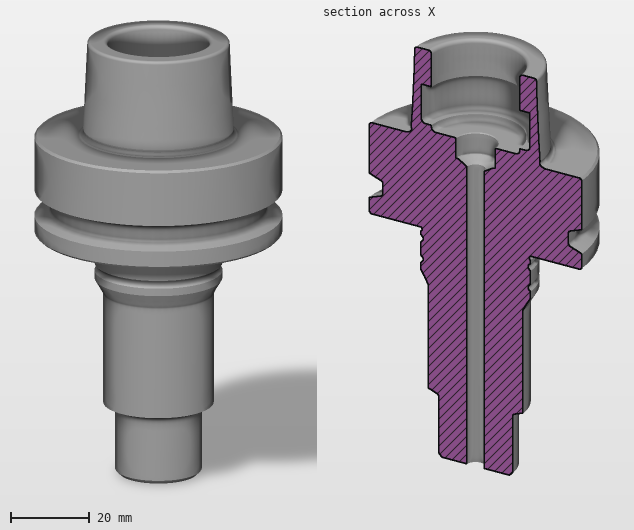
import cadquery as cq
import math

total_height = 114.5
diagonal = math.sqrt(0.5)

root_fillet = 0.8
shallow_angle = 20.0
steep_angle = 60.0

tail_radius = 22.0 / 2
tail_chamfer = 1.0
tail_top = 17.0
shank_radius = 28.0 / 2
shank_top = 47.6

collar_radius = 32.5 / 2
collar_top = 62.6
groove_count = 2
groove_width = 2.1
groove_chamfer = 0.3
groove_pitch = 5.8
lower_groove_bottom = 53.7
hollow_depth = 0.3

flange_radius = 63.0 / 2
flange_bottom = 63.7
flange_top = 89.7
flange_chamfer = 0.6
gripper_root_radius = 55.0 / 2
gripper_root_bottom = 70.3
gripper_root_top = 73.0

taper_base_radius = 19.1
taper_top_radius = 18.1
taper_base = 91.4
taper_rounding = 0.8
relief_radius = 38.0 / 2
relief_top = 90.8
relief_foot_radius = 19.9
relief_foot = 89.9
relief_outer_radius = 20.4

bore_radius = 26.0 / 2
bore_mouth_rounding = 1.0
undercut_radius = 32.0 / 2
undercut_top = 104.2
undercut_floor = 93.4
undercut_fillet = 1.1
recess_floor = 91.7
recess_fillet = 1.1
counterbore_radius = 12.0 / 2
counterbore_chamfer = 0.2
counterbore_depth = 5.7
countersink_radius = 10.5 / 2
drill_point_angle = 118.0
passage_radius = 5.0 / 2


def add_cone(profile, small_radius, small_end, large_radius, angle, opens_up):
    """Filleted conical shoulder between two radii; small_end is where the small cylinder ends."""
    direction = 1 if opens_up else -1
    slope = math.radians(angle)

    def on_fillet(turn):
        radius = small_radius + root_fillet * (1 - math.sin(turn))
        return radius, small_end + direction * root_fillet * math.cos(turn)

    cylinder_end = (small_radius, small_end)
    fillet_middle = on_fillet((slope + math.pi / 2) / 2)
    fillet_end = on_fillet(slope)
    cone_end = (large_radius, fillet_end[1] + direction * (large_radius - fillet_end[0]) * math.tan(slope))
    if opens_up:
        return profile.lineTo(*cylinder_end).threePointArc(fillet_middle, fillet_end).lineTo(*cone_end)
    return profile.lineTo(*cone_end).lineTo(*fillet_end).threePointArc(fillet_middle, cylinder_end)


def add_floor_fillet(profile, floor, radius, fillet):
    """Fillet from a floor out to the wall standing at the given radius."""
    inset = fillet * (1 - diagonal)
    return (
        profile.lineTo(radius - fillet, floor)
        .threePointArc((radius - inset, floor + inset), (radius, floor + fillet))
    )


def add_hollow(profile, bottom, top, radius):
    """Shallow concave arc between two heights on the same radius."""
    middle = (bottom + top) / 2
    return profile.lineTo(radius, bottom).threePointArc((radius - hollow_depth, middle), (radius, top))


def add_ring_groove(profile, bottom):
    """Groove in the collar: two chamfered edges with a hollow between them."""
    top = bottom + groove_width
    profile = profile.lineTo(collar_radius, bottom)
    inner_radius = collar_radius - groove_chamfer
    profile = add_hollow(profile, bottom + groove_chamfer, top - groove_chamfer, inner_radius)
    return profile.lineTo(collar_radius, top)


def add_tail_and_shank(profile):
    profile = profile.lineTo(tail_radius - tail_chamfer, 0).lineTo(tail_radius, tail_chamfer)
    return add_cone(
        profile, tail_radius, tail_top, shank_radius, shallow_angle, opens_up=True
    )


def add_collar(profile):
    profile = add_cone(
        profile, shank_radius, shank_top, collar_radius, steep_angle, opens_up=True
    )
    for index in range(groove_count):
        profile = add_ring_groove(profile, lower_groove_bottom + index * groove_pitch)
    return add_hollow(profile, collar_top, flange_bottom, collar_radius)


def add_flange(profile):
    profile = (
        profile.lineTo(flange_radius - flange_chamfer, flange_bottom)
        .lineTo(flange_radius, flange_bottom + flange_chamfer)
    )
    profile = add_cone(
        profile, gripper_root_radius, gripper_root_bottom, flange_radius, shallow_angle, opens_up=False
    )
    profile = add_cone(
        profile, gripper_root_radius, gripper_root_top, flange_radius, shallow_angle, opens_up=True
    )
    return (
        profile.lineTo(flange_radius, flange_top - flange_chamfer)
        .lineTo(flange_radius - flange_chamfer, flange_top)
    )


def add_nose(profile):
    relief_bulge = (
        relief_foot_radius - (relief_foot_radius - relief_radius) * diagonal,
        relief_top - (relief_top - relief_foot) * diagonal,
    )
    rounding_middle = (
        taper_top_radius - taper_rounding * (1 - diagonal),
        total_height - taper_rounding * (1 - diagonal),
    )
    return (
        profile.lineTo(relief_outer_radius, flange_top)
        .lineTo(relief_foot_radius, relief_foot)
        .threePointArc(relief_bulge, (relief_radius, relief_top))
        .lineTo(taper_base_radius, taper_base)
        .lineTo(taper_top_radius, total_height - taper_rounding)
        .threePointArc(rounding_middle, (taper_top_radius - taper_rounding, total_height))
    )


def make_body():
    profile = cq.Workplane("XZ").moveTo(0, 0)
    for add_section in (add_tail_and_shank, add_collar, add_flange, add_nose):
        profile = add_section(profile)
    return profile.lineTo(0, total_height).close().revolve(360, (0, 0, 0), (0, 1, 0))


def make_bore():
    """Rounded mouth, undercut, recess, counterbore, drill point and through passage."""
    mouth_inset = bore_mouth_rounding * (1 - diagonal)
    counterbore_floor = recess_floor - counterbore_depth
    counterbore_wall = counterbore_radius - counterbore_chamfer
    point_depth = (countersink_radius - passage_radius) / math.tan(math.radians(drill_point_angle / 2))
    profile = (
        cq.Workplane("XZ")
        .moveTo(0, 0)
        .lineTo(passage_radius, 0)
        .lineTo(passage_radius, counterbore_floor - point_depth)
        .lineTo(countersink_radius, counterbore_floor)
        .lineTo(counterbore_wall, counterbore_floor)
        .lineTo(counterbore_wall, recess_floor - counterbore_chamfer)
        .lineTo(counterbore_radius, recess_floor)
    )
    profile = add_floor_fillet(profile, recess_floor, bore_radius, recess_fillet)
    profile = profile.lineTo(bore_radius, undercut_floor)
    profile = add_floor_fillet(profile, undercut_floor, undercut_radius, undercut_fillet)
    return (
        profile.lineTo(undercut_radius, undercut_top)
        .lineTo(bore_radius, undercut_top)
        .lineTo(bore_radius, total_height - bore_mouth_rounding)
        .threePointArc(
            (bore_radius + mouth_inset, total_height - mouth_inset),
            (bore_radius + bore_mouth_rounding, total_height),
        )
        .lineTo(0, total_height)
        .close()
        .revolve(360, (0, 0, 0), (0, 1, 0))
    )


result = make_body().cut(make_bore())